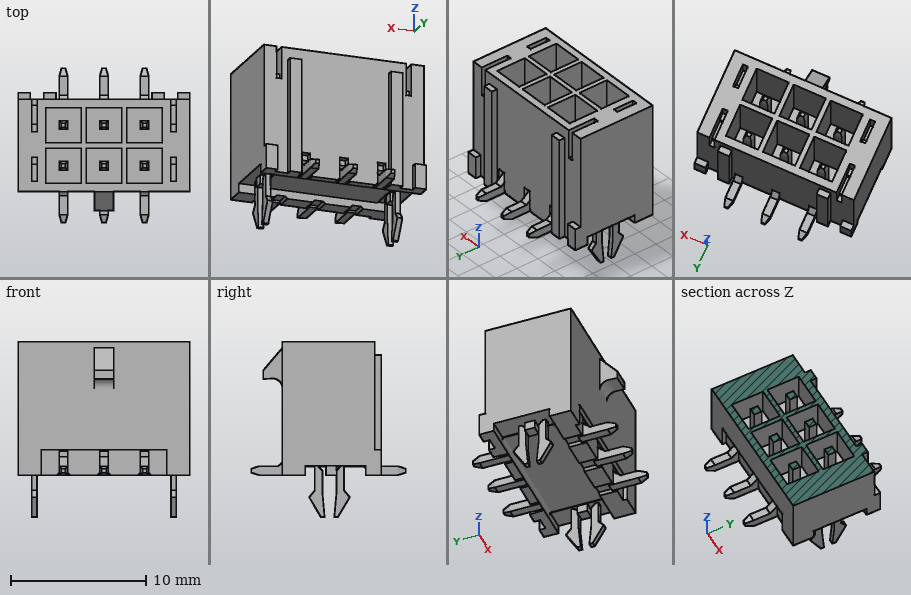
import cadquery as cq

body_length = 12.7
body_depth = 6.85
body_height = 9.9
front_y = -body_depth / 2
back_y = body_depth / 2

pitch = 3.0
columns = 3
rows = 2
cavity_size = 2.6
cavity_floor_z = 2.4

pin_width = 0.64
pin_tip_width = 0.3
pin_top_z = 7.5
pin_taper = 0.6
tail_height = 0.69
tail_end_y = 5.72
bend_top_y = 2.87
bend_top_z = 1.39
bend_foot_y = 3.73
tail_root_y = bend_top_y - 0.1

recess_width = 9.3
recess_height = 1.88
recess_depth = 0.31
exit_height = 1.8
exit_chamfer = 0.18

channel_front_y = -1.71
channel_back_y = 2.75
channel_height = 0.7
channel_end_length = (body_length - recess_width) / 2
channel_inner_height = 0.63
channel_fillet = 0.18
post_front_y = -0.2
post_back_y = 0.6
post_width = 0.8

back_step = 0.49
pad_width = 0.9
pad_height = 1.9
rib_top_z = 8.92
rib_center_x = 4.0
rib_width = 0.92

latch_width = 1.41
latch_reach = 1.41
latch_top_z = 9.43
latch_nose_top_z = 7.77
latch_nose_bottom_z = 7.12
latch_root_radius = 0.7
latch_root_z = 6.46

clip_x = 5.15
clip_thickness = 0.41
clip_center_y = 0.07
clip_bottom_z = -3.1
leg_outer = 1.09
leg_inner = 0.51
leg_neck_inner = 0.85
leg_neck_z = 0.34
leg_taper_z = -1.3
barb_reach = 1.51
barb_top_z = -1.12
barb_point_z = -1.62
leg_tip_outer = 0.63
leg_tip_inner = 0.35

slot_depth = 1.5
slot_step = 0.5
back_slot_end_y = 1.0
back_slot_steps_y = (1.55, 2.97)
front_slot_y = (-2.67, -0.87)
front_slot_step_y = -1.4

OVERLAP = 0.2


def box(x_range, y_range, z_range):
    """Axis-aligned box spanning the given ranges."""
    size = [r[1] - r[0] for r in (x_range, y_range, z_range)]
    corner = (x_range[0], y_range[0], z_range[0])
    return cq.Workplane("XY").box(*size, centered=False).translate(corner)


def centered_range(center, width):
    return (center - width / 2, center + width / 2)


def yz_plate(sketch, center_x, thickness):
    """Extrude a closed YZ outline symmetrically about X = center_x."""
    return sketch.extrude(thickness / 2, both=True).translate((center_x, 0, 0))


def grid_positions(count):
    return [(i - (count - 1) / 2) * pitch for i in range(count)]


def back_features():
    """Corner pads and taller ribs standing off the back wall."""
    y_range = (back_y - OVERLAP, back_y + back_step)
    pad_x = (body_length - pad_width) / 2
    features = cq.Workplane("XY")
    for side in (-1, 1):
        features = features.add(box(centered_range(side * pad_x, pad_width), y_range, (0, pad_height)))
        features = features.add(box(centered_range(side * rib_center_x, rib_width), y_range, (0, rib_top_z)))
    return features.combine()


def latch():
    """Ramped hook with a rounded inside corner below its nose."""
    nose_y = front_y - latch_reach
    arc_center_y = front_y - latch_root_radius
    diagonal = latch_root_radius * 0.5 ** 0.5
    outline = (
        cq.Workplane("YZ")
        .moveTo(front_y + OVERLAP, latch_top_z)
        .lineTo(front_y, latch_top_z)
        .lineTo(nose_y, latch_nose_top_z)
        .lineTo(nose_y, latch_nose_bottom_z)
        .lineTo(arc_center_y, latch_root_z + latch_root_radius)
        .threePointArc((arc_center_y + diagonal, latch_root_z + diagonal), (front_y, latch_root_z))
        .lineTo(front_y + OVERLAP, latch_root_z)
        .close()
    )
    return yz_plate(outline, 0, latch_width)


def underside_channel():
    """Channel through the feet, shallower and rounded between its two ends."""
    y_range = (channel_front_y, channel_back_y)
    half_length = body_length / 2
    inner_length = body_length - 2 * channel_end_length
    channel = box(centered_range(0, inner_length), y_range, (0, channel_inner_height))
    channel = channel.edges("|X and >Y and >Z").fillet(channel_fillet)
    for x_start in (-half_length, half_length - channel_end_length):
        channel = channel.union(box((x_start, x_start + channel_end_length), y_range, (0, channel_height)))
    return channel


def tail_exit(x, side):
    """Slot around one tail, flared at its lower edge; side is -1 for front, 1 for back."""
    half = pin_width / 2
    flared = half + exit_chamfer
    outline = [
        (-flared, 0),
        (flared, 0),
        (half, exit_chamfer),
        (half, exit_height),
        (-half, exit_height),
        (-half, exit_chamfer),
    ]
    length = back_y - bend_top_y
    slot = cq.Workplane("XZ").polyline(outline).close().extrude(-length)
    slot_start_y = bend_top_y if side > 0 else -back_y
    return slot.translate((x, slot_start_y, 0))


def front_flare(x):
    """Flared groove that carries the lower edge of a front exit through to the channel."""
    half = pin_width / 2
    flared = half + exit_chamfer
    outline = [(-flared, 0), (flared, 0), (half, exit_chamfer), (-half, exit_chamfer)]
    groove = cq.Workplane("XZ").polyline(outline).close().extrude(front_y - channel_front_y)
    return groove.translate((x, front_y, 0))


def pin_tail(x, side):
    """Bent contact tail with a tapered end, lying on Z = 0."""
    taper_y = tail_end_y - pin_taper
    outline = [
        (tail_root_y, 0),
        (taper_y, 0),
        (taper_y, tail_height),
        (bend_foot_y, tail_height),
        (bend_top_y, bend_top_z),
        (tail_root_y, bend_top_z),
    ]
    tail = yz_plate(cq.Workplane("YZ").polyline(outline).close(), 0, pin_width)
    tip = (
        cq.Workplane("XZ", origin=(0, taper_y, tail_height / 2))
        .rect(pin_width, tail_height)
        .workplane(offset=-pin_taper)
        .rect(pin_tip_width, pin_tip_width)
        .loft(combine=True)
    )
    tail = tail.union(tip)
    if side < 0:
        tail = tail.mirror("XZ")
    return tail.translate((x, 0, 0))


def contact_post(x, y):
    """Square contact post with a pyramid tip, standing on the cavity floor."""
    shoulder_z = pin_top_z - pin_taper
    post = box(centered_range(x, pin_width), centered_range(y, pin_width), (cavity_floor_z - OVERLAP, shoulder_z))
    tip = (
        cq.Workplane("XY", origin=(x, y, shoulder_z))
        .rect(pin_width, pin_width)
        .workplane(offset=pin_taper)
        .rect(pin_tip_width, pin_tip_width)
        .loft(combine=True)
    )
    return post.union(tip)


def top_slots(x):
    """Stepped slots in the top face over one board clip; the back one opens to the back wall."""
    x_range = centered_range(x, clip_thickness)
    shallow_z = body_height - slot_depth
    middle_z = shallow_z - slot_step
    deep_z = middle_z - slot_step
    inner_step_y, outer_step_y = back_slot_steps_y
    slots = box(x_range, (back_slot_end_y, back_y), (shallow_z, body_height))
    slots = slots.union(box(x_range, (inner_step_y, back_y), (middle_z, body_height)))
    slots = slots.union(box(x_range, (outer_step_y, back_y), (deep_z, body_height)))
    slots = slots.union(box(x_range, front_slot_y, (middle_z, body_height)))
    step = box(x_range, (front_slot_step_y, front_slot_y[1]), (middle_z, shallow_z))
    return slots.cut(step)


def clip_leg(x, side):
    """Barbed leg of a board clip; side is the Y direction its barb points to."""
    root_z = channel_height + OVERLAP
    outline = [
        (leg_outer, root_z),
        (leg_outer, barb_top_z),
        (barb_reach, barb_point_z),
        (leg_tip_outer, clip_bottom_z),
        (leg_tip_inner, clip_bottom_z),
        (leg_inner, leg_taper_z),
        (leg_inner, leg_neck_z),
        (leg_neck_inner, channel_height),
        (leg_neck_inner, root_z),
    ]
    leg = yz_plate(cq.Workplane("YZ").polyline(outline).close(), 0, clip_thickness)
    if side < 0:
        leg = leg.mirror("XZ")
    return leg.translate((x, clip_center_y, 0))


def housing():
    """Plastic body with its cavities, slots and underside relief."""
    body = cq.Workplane("XY").box(body_length, body_depth, body_height, centered=(True, True, False))
    body = body.union(back_features()).union(latch())
    body = body.cut(underside_channel())
    recess = box(centered_range(0, recess_width), (front_y, front_y + recess_depth), (0, recess_height))
    body = body.cut(recess)
    for x in grid_positions(columns):
        body = body.cut(front_flare(x))
        for side in (-1, 1):
            body = body.cut(tail_exit(x, side))
        for y in grid_positions(rows):
            cavity_x = centered_range(x, cavity_size)
            cavity_y = centered_range(y, cavity_size)
            body = body.cut(box(cavity_x, cavity_y, (cavity_floor_z, body_height)))
    for side in (-1, 1):
        body = body.cut(top_slots(side * clip_x))
        post_x = centered_range(side * clip_x, post_width)
        body = body.union(box(post_x, (post_front_y, post_back_y), (0, channel_height + OVERLAP)))
    return body


part = housing()
for column_x in grid_positions(columns):
    for row_y in grid_positions(rows):
        part = part.union(contact_post(column_x, row_y))
    for wall_side in (-1, 1):
        part = part.union(pin_tail(column_x, wall_side))
for clip_side in (-1, 1):
    for leg_side in (-1, 1):
        part = part.union(clip_leg(clip_side * clip_x, leg_side))

result = part